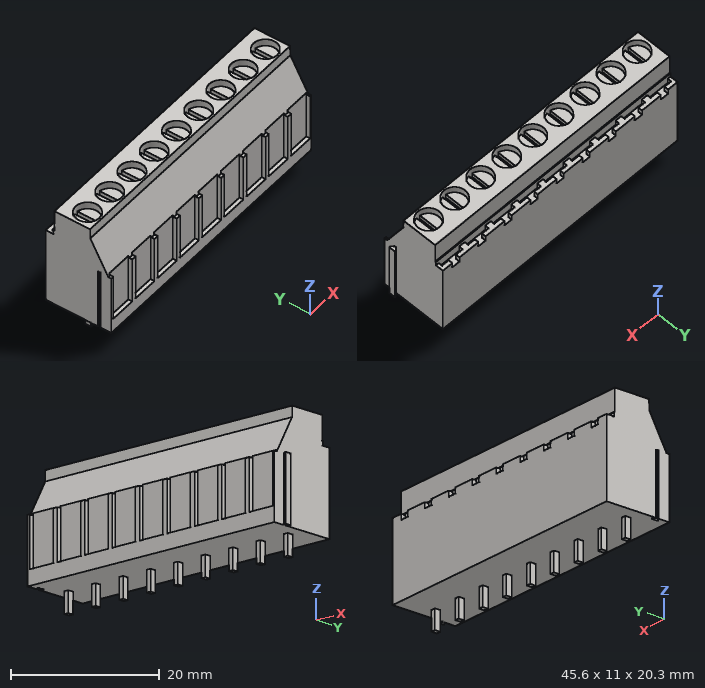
import cadquery as cq

pole_count = 9
total_length = 45.65
rail_projection = 0.65
housing_length = total_length - rail_projection
housing_depth = 11.0
total_height = 20.3
pin_length = 3.2
housing_height = total_height - pin_length
pitch = housing_length / pole_count

front_shelf_height = 10.05
front_shelf_depth = 0.5
slope_top_height = 15.48
slope_top_y = 3.5
top_front_lean = 0.05
back_ledge_height = 12.85
top_back_y = housing_depth - 1.45
back_lip_depth = 0.15
back_lip_height = 0.7

recess_width = 4.25
recess_left_margin = 0.45
recess_bottom = 2.35
recess_top = 10.3
slope_run_per_rise = (slope_top_y - front_shelf_depth) / (slope_top_height - front_shelf_height)
recess_depth = front_shelf_depth + (recess_top - front_shelf_height) * slope_run_per_rise

screw_y = 5.85
screw_diameter = 3.93
screw_well_depth = 1.2
driver_slot_width = 0.65
driver_slot_depth = 0.75

marker_head_width = 3.93
marker_neck_width = 1.35
marker_neck_length = 0.7
marker_slot_depth = 0.9

joint_y = 2.05
joint_height = front_shelf_height
joint_neck_width = 0.4
joint_tip_width = 1.0
joint_neck_land = 0.15
joint_tip_land = 0.2

pin_width = 0.75
pin_depth = 0.95
pin_y = 5.5

pole_centers = [(i + 0.5) * pitch for i in range(pole_count)]


def box(x_min, y_min, z_min, length, depth, height):
    """Box placed by its lowest corner."""
    return cq.Workplane("XY").box(length, depth, height, centered=False).translate((x_min, y_min, z_min))


def make_housing():
    lip_y = top_back_y + back_lip_depth
    lip_top = back_ledge_height + back_lip_height
    profile = [
        (0, 0),
        (housing_depth, 0),
        (housing_depth, back_ledge_height),
        (lip_y, back_ledge_height),
        (lip_y, lip_top),
        (top_back_y, lip_top),
        (top_back_y, housing_height),
        (slope_top_y + top_front_lean, housing_height),
        (slope_top_y, slope_top_height),
        (front_shelf_depth, front_shelf_height),
        (0, front_shelf_height),
    ]
    return cq.Workplane("YZ").polyline(profile).close().extrude(housing_length)


def make_dovetail(base_x):
    """Upright dovetail bar that widens from its neck at base_x toward +X."""
    half_neck = joint_neck_width / 2
    half_tip = joint_tip_width / 2
    neck_end_x = base_x + joint_neck_land
    tip_x = base_x + rail_projection
    flare_end_x = tip_x - joint_tip_land
    profile = [
        (base_x, joint_y - half_neck),
        (neck_end_x, joint_y - half_neck),
        (flare_end_x, joint_y - half_tip),
        (tip_x, joint_y - half_tip),
        (tip_x, joint_y + half_tip),
        (flare_end_x, joint_y + half_tip),
        (neck_end_x, joint_y + half_neck),
        (base_x, joint_y + half_neck),
    ]
    return cq.Workplane("XY").polyline(profile).close().extrude(joint_height)


def make_wire_recess(center_x):
    left_x = center_x - pitch / 2 + recess_left_margin
    return box(left_x, 0, recess_bottom, recess_width, recess_depth, recess_top - recess_bottom)


def make_screw_well(center_x):
    floor_z = housing_height - screw_well_depth
    well = (
        cq.Workplane("XY", origin=(center_x, screw_y, floor_z))
        .circle(screw_diameter / 2)
        .extrude(screw_well_depth)
    )
    driver_slot = (
        cq.Workplane("XY", origin=(center_x, screw_y, floor_z - driver_slot_depth))
        .circle(screw_diameter / 2)
        .extrude(driver_slot_depth)
        .intersect(
            box(
                center_x - driver_slot_width / 2,
                screw_y - screw_diameter / 2,
                floor_z - driver_slot_depth,
                driver_slot_width,
                screw_diameter,
                driver_slot_depth,
            )
        )
    )
    return well.union(driver_slot)


def make_marker_slot(center_x):
    head_front_y = top_back_y + back_lip_depth
    head_back_y = housing_depth - marker_neck_length
    floor_z = back_ledge_height - marker_slot_depth
    head = box(
        center_x - marker_head_width / 2,
        head_front_y,
        floor_z,
        marker_head_width,
        head_back_y - head_front_y,
        marker_slot_depth,
    )
    neck = box(
        center_x - marker_neck_width / 2,
        head_back_y,
        floor_z,
        marker_neck_width,
        marker_neck_length,
        marker_slot_depth,
    )
    return head.union(neck)


def make_pin(center_x):
    return box(
        center_x - pin_width / 2,
        pin_y - pin_depth / 2,
        -pin_length,
        pin_width,
        pin_depth,
        pin_length,
    )


result = make_housing().cut(make_dovetail(0)).union(make_dovetail(housing_length))
for pole_x in pole_centers:
    result = result.cut(make_wire_recess(pole_x))
    result = result.cut(make_screw_well(pole_x))
    result = result.cut(make_marker_slot(pole_x))
    result = result.union(make_pin(pole_x))